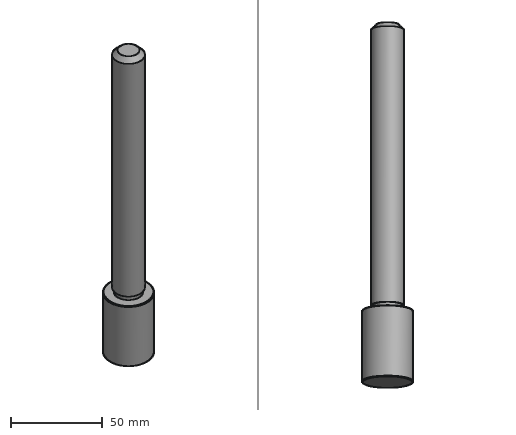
import cadquery as cq

total_length = 200.0
head_diameter = 28.0
head_length = 40.0
head_chamfer = 0.5

shank_diameter = 18.0
tip_chamfer = 3.0
undercut_depth = 1.0
undercut_length = 3.0

head_radius = head_diameter / 2
shank_radius = shank_diameter / 2
undercut_radius = shank_radius - undercut_depth
undercut_top = head_length + undercut_length

profile = (
    cq.Workplane("XZ")
    .moveTo(0, 0)
    .lineTo(head_radius - head_chamfer, 0)
    .lineTo(head_radius, head_chamfer)
    .lineTo(head_radius, head_length - head_chamfer)
    .lineTo(head_radius - head_chamfer, head_length)
    .lineTo(undercut_radius, head_length)
    .lineTo(undercut_radius, undercut_top)
    .lineTo(shank_radius, undercut_top)
    .lineTo(shank_radius, total_length - tip_chamfer)
    .lineTo(shank_radius - tip_chamfer, total_length)
    .lineTo(0, total_length)
    .close()
)

result = profile.revolve(360, (0, 0, 0), (0, 1, 0))